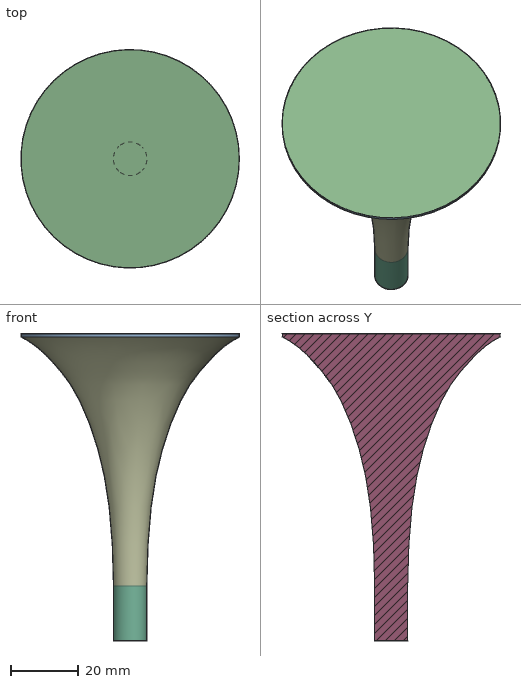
import cadquery as cq

total_height = 91.4
stem_diameter = 10.0
stem_height = 16.4
rim_diameter = 65.0
rim_thickness = 1.0

stem_radius = stem_diameter / 2
rim_radius = rim_diameter / 2
flare_top = total_height - rim_thickness

flare_points = [
    (5.8, 34.7),
    (8.0, 50.6),
    (11.2, 62.15),
    (14.3, 69.7),
    (17.7, 76.1),
    (22.2, 81.9),
    (26.8, 86.6),
]

half_outline = (
    cq.Workplane("XZ")
    .lineTo(stem_radius, 0)
    .lineTo(stem_radius, stem_height)
    .spline(flare_points + [(rim_radius, flare_top)], includeCurrent=True)
    .lineTo(rim_radius, total_height)
    .lineTo(0, total_height)
    .close()
)

result = half_outline.revolve(360, (0, 0, 0), (0, 1, 0))